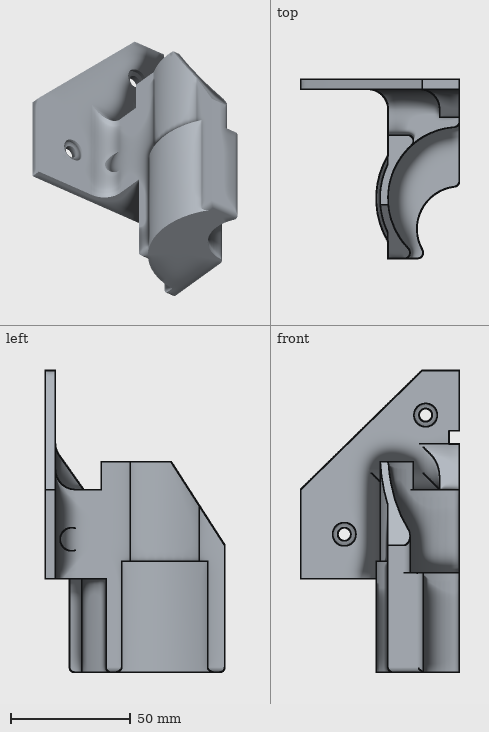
import cadquery as cq
import math


width = 66.67
depth = 75.33
height = 126.67

plate_thickness = 4.3
plate_bottom = 39.17
plate_corner_cut_width = 51.0
plate_corner_cut_height = 50.0
notch_width = plate_thickness
notch_bottom = 95.83
notch_height = 5.4

screw_positions = [(-14.2, 107.9), (-48.3, 57.9)]
screw_diameter = 5.4
screw_head_diameter = 9.8
screw_head_depth = 1.7

body_width = 30.0
body_shoulder = 76.67
body_top = 88.33
blend_radius = 8.33
raised_back = 23.5

tube_axis_y = -50.1
upper_bore_radius = 30.0
upper_bore_floor = 41.67
upper_wall_radius = 33.33
lower_wall_radius = 35.0
lower_wall_top = 46.5

lower_bore_radius = 17.8
lower_bore_axis_y = -62.9

leg_back = 25.5
tab_thickness = notch_width
tab_back = 10.15

bore_edge_radius = 2.5
foot_radius = 2.1

front_slope_run = 22.5
front_slope_drop = 35.0

gusset_width = 8.33
gusset_foot = 16.1
gusset_plate_top = 93.3

relief_radius = 4.85
relief_y = -11.1
relief_z = 55.8


def block(x0, x1, y0, y1, z0, z1):
    """Axis-aligned box between opposite corners."""
    return cq.Workplane("XY", origin=(x0, y0, z0)).box(x1 - x0, y1 - y0, z1 - z0, centered=False)


def half_tube(radius, front_y, z0, z1):
    """Half of a solid cylinder on the tube axis, cut off at the mating face and at front_y."""
    full = cq.Workplane("XY", origin=(0, tube_axis_y, z0)).circle(radius).extrude(z1 - z0)
    return full.intersect(block(-width, 0, front_y, 0, z0, z1))


def bore_surround(radius, axis_y, back_y, back_edge, z0, z1):
    """Space around a bore, from back_y to the front, with its two vertical edges rounded."""
    bore = cq.Workplane("XY", origin=(0, axis_y, z0)).circle(radius).extrude(z1 - z0)
    front_edge = (-math.sqrt(radius**2 - (depth + axis_y) ** 2), -depth)
    surround = block(-width, 0, -depth, back_y, z0, z1).cut(bore)
    middle_z = (z0 + z1) / 2
    for edge in (back_edge, front_edge):
        surround = surround.edges(cq.NearestToPointSelector((*edge, middle_z))).fillet(bore_edge_radius)
    return surround


def blended_side(side_x, front_y, z0, z1):
    """Prism whose side face at side_x flares into the plate through a concave blend."""
    return (
        cq.Workplane("XY", origin=(0, 0, z0))
        .lineTo(side_x - blend_radius, 0)
        .lineTo(side_x - blend_radius, -plate_thickness)
        .radiusArc((side_x, -plate_thickness - blend_radius), blend_radius)
        .lineTo(side_x, front_y)
        .lineTo(0, front_y)
        .close()
        .extrude(z1 - z0)
    )


def make_plate():
    """Plate with one corner cut off, an edge notch and counterbored screw holes."""
    plate = (
        cq.Workplane("XZ")
        .moveTo(0, plate_bottom)
        .lineTo(-width, plate_bottom)
        .lineTo(-width, height - plate_corner_cut_height)
        .lineTo(-width + plate_corner_cut_width, height)
        .lineTo(0, height)
        .close()
        .extrude(plate_thickness)
    )
    notch = block(-notch_width, 0, -plate_thickness, 0, notch_bottom, notch_bottom + notch_height)
    front_face = cq.Workplane("XZ", origin=(0, -plate_thickness, 0)).pushPoints(screw_positions)
    holes = front_face.circle(screw_diameter / 2).extrude(-plate_thickness)
    head_recesses = front_face.circle(screw_head_diameter / 2).extrude(-screw_head_depth)
    return plate.cut(notch).cut(holes).cut(head_recesses)


def make_front_slope_limit():
    """Side silhouette of the body's top and sloped front."""
    return (
        cq.Workplane("YZ", origin=(-width, 0, 0))
        .lineTo(0, body_top)
        .lineTo(-depth + front_slope_run, body_top)
        .lineTo(-depth, body_top - front_slope_drop)
        .lineTo(-depth, 0)
        .close()
        .extrude(width)
    )


def make_shoulder():
    """Body between the plate and the upper bore, its top and side blended into the plate."""
    top_profile = (
        cq.Workplane("YZ", origin=(-width, 0, 0))
        .moveTo(0, plate_bottom)
        .lineTo(0, body_shoulder + blend_radius)
        .lineTo(-plate_thickness, body_shoulder + blend_radius)
        .radiusArc((-plate_thickness - blend_radius, body_shoulder), blend_radius)
        .lineTo(-depth, body_shoulder)
        .lineTo(-depth, plate_bottom)
        .close()
        .extrude(width)
    )
    return blended_side(-body_width, -depth, plate_bottom, height).intersect(top_profile)


def make_upper_body():
    """Shoulder, raised front and tube wall around the upper bore."""
    raised_wall = half_tube(upper_wall_radius, -depth, body_shoulder, body_top)
    shoulder_wall = half_tube(upper_wall_radius, -depth, upper_bore_floor, body_shoulder)
    lower_wall = half_tube(lower_wall_radius, -depth, upper_bore_floor, lower_wall_top)
    shoulder = make_shoulder().union(shoulder_wall).union(lower_wall)
    shoulder_space = bore_surround(
        upper_bore_radius,
        tube_axis_y,
        0,
        (0, tube_axis_y + upper_bore_radius),
        upper_bore_floor,
        body_shoulder + blend_radius,
    )
    raised = block(-body_width, 0, -depth, -raised_back, body_shoulder, body_top).union(raised_wall)
    raised_edge_x = -math.sqrt(upper_bore_radius**2 - (raised_back + tube_axis_y) ** 2)
    raised_space = bore_surround(
        upper_bore_radius,
        tube_axis_y,
        -raised_back,
        (raised_edge_x, -raised_back),
        body_shoulder,
        body_top,
    )
    upper = shoulder.intersect(shoulder_space).union(raised.intersect(raised_space))
    return upper.intersect(make_front_slope_limit())


def make_lower_body():
    """Leg around the lower bore, with rounded foot edges and a tab along the mating face."""
    leg = block(-body_width, 0, -depth, -leg_back, 0, upper_bore_floor)
    leg = leg.faces("<Z").edges("<X or <Y or >Y").fillet(foot_radius)
    tab = block(-tab_thickness, 0, -leg_back, -tab_back, 0, upper_bore_floor)
    tab = tab.faces("<Z").edges(">Y").fillet(foot_radius)
    wall = half_tube(lower_wall_radius, -depth + foot_radius, 0, upper_bore_floor)
    shelf = blended_side(-body_width, -depth, plate_bottom, upper_bore_floor)
    lower_space = bore_surround(
        lower_bore_radius,
        lower_bore_axis_y,
        0,
        (0, lower_bore_axis_y + lower_bore_radius),
        0,
        upper_bore_floor,
    )
    return leg.union(tab).union(wall).union(shelf).intersect(lower_space)


def make_gusset():
    """Sloped gusset above the shoulder, blended into the plate at its top and side."""
    sloped = (
        cq.Workplane("YZ", origin=(-width, 0, 0))
        .moveTo(0, body_shoulder)
        .lineTo(0, height)
        .lineTo(-plate_thickness, height)
        .lineTo(-plate_thickness, gusset_plate_top)
        .lineTo(-gusset_foot, body_shoulder)
        .close()
        .extrude(width)
        .edges(cq.NearestToPointSelector((-width / 2, -plate_thickness, gusset_plate_top)))
        .fillet(blend_radius)
    )
    return blended_side(-gusset_width, -gusset_foot, body_shoulder, notch_bottom).intersect(sloped)


def make_relief():
    """Round pocket in the side blend whose floor is flush with the body's side face."""
    return (
        cq.Workplane("YZ", origin=(-body_width, relief_y, relief_z))
        .circle(relief_radius)
        .extrude(-blend_radius)
    )


body = make_lower_body().union(make_upper_body()).union(make_gusset()).cut(make_relief())
result = make_plate().union(body)